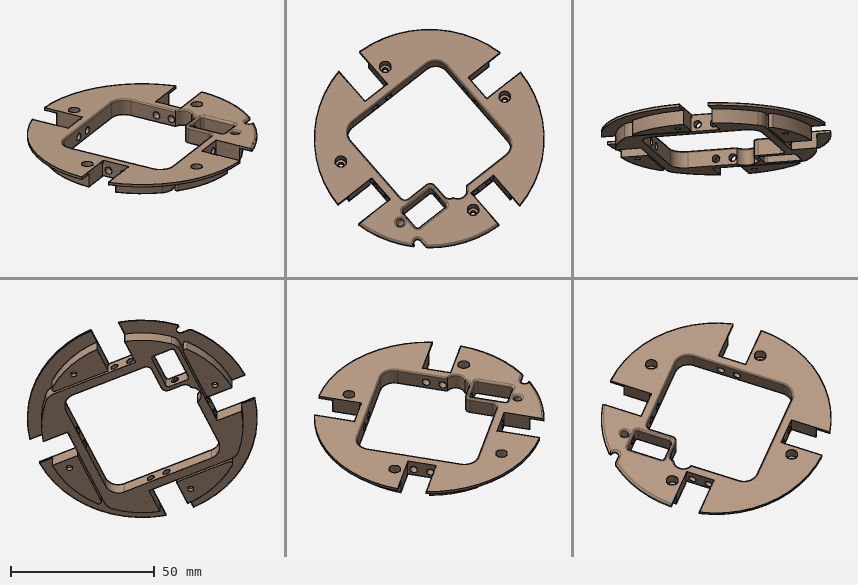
import cadquery as cq
import math

FLANGE_RADIUS = 40.0
BODY_RADIUS = 35.0
HEIGHT = 6.0
FLANGE_THICKNESS = 0.95
BODY_HEIGHT = HEIGHT - FLANGE_THICKNESS

SLOT_WIDTH = 10.1
SLOT_OFFSET = 3.5
SLOT_FLOOR = 24.7
SLOT_HOLE_DIAMETER = 2.6
SLOT_HOLE_SPACING = 6.0
SLOT_HOLE_HEIGHT = 2.5

SLIT_WIDTH = 0.7
SLIT_FLARE_RADIUS = 4.95
SLIT_NOSE_RADIUS = 0.95

OPENING_HALF = 21.6
OPENING_CORNER_RADIUS = 4.95
OPENING_STEP_X = 9.5
OPENING_STEP_Y = 12.5
OPENING_STEP_RADIUS = 2.0
OPENING_PEAK_Y = 22.1
OPENING_PEAK_RADIUS = 2.5
OPENING_RIM_RADIUS = 0.5
RELIEF_X = 4.3
RELIEF_Y = 20.8
RELIEF_RADIUS = 3.3

WINDOW_X = (10.9, 24.4)
WINDOW_Y = (14.3, 22.95)
WINDOW_CORNER_RADIUS = 0.95
EDGE_RADIUS = 0.8

CABLE_DIAMETER = 2.6
CABLE_X = 27.5
CABLE_Y = 17.35
CABLE_BEND_RADIUS = CABLE_X - WINDOW_X[1]
CABLE_HEIGHT = HEIGHT / 2
CABLE_RIM_RADIUS = 0.6
NOTCH_Y = 26.9
NOTCH_CORNER_RADIUS = 1.5

SCREW_DIAMETER = 2.0
SCREW_HEAD_DIAMETER = 4.0
SCREW_HEAD_DEPTH = 4.0
SCREW_POINTS = [(4.95, 30.0), (-30.0, 4.95), (-4.95, -30.0), (29.1, -13.0)]

QUARTER_TURNS = [0, 90, 180, 270]
OVERLAP = 0.8
TOLERANCE = 0.01
near = cq.selectors.NearestToPointSelector


def turned(part, angle):
    return part.rotate((0, 0, 0), (0, 0, 1), angle)


def box_between(x_range, y_range, z_range):
    size = [high - low for low, high in (x_range, y_range, z_range)]
    corner = (x_range[0], y_range[0], z_range[0])
    return cq.Workplane("XY").box(*size, centered=False).translate(corner)


def rounded(part, edges, radius):
    return cq.Workplane(part.findSolid().fillet(radius, edges))


def rounded_top(part):
    return part.faces(">Z").edges().fillet(EDGE_RADIUS)


def top_edges_in(part, x_range, y_range):
    """Edges of the top face whose centres lie inside a rectangle."""
    region = cq.selectors.BoxSelector(
        (x_range[0], y_range[0], HEIGHT - TOLERANCE),
        (x_range[1], y_range[1], HEIGHT + TOLERANCE),
    )
    return part.faces(">Z").edges(region).vals()


def flange_blank():
    return cq.Workplane("XY", origin=(0, 0, BODY_HEIGHT)).circle(FLANGE_RADIUS).extrude(FLANGE_THICKNESS)


def quarter_box():
    return box_between((0, FLANGE_RADIUS), (0, FLANGE_RADIUS), (BODY_HEIGHT, HEIGHT))


def notched_quarter():
    """Quarter of the flange with a rounded rim and a cable notch."""
    notch_left = CABLE_X - CABLE_DIAMETER / 2
    z_range = (BODY_HEIGHT, HEIGHT)
    above_notch = box_between((0, FLANGE_RADIUS), (NOTCH_Y, FLANGE_RADIUS), z_range)

    notch_end = (
        cq.Workplane("XY", origin=(CABLE_X, NOTCH_Y, BODY_HEIGHT))
        .circle(CABLE_DIAMETER / 2)
        .extrude(FLANGE_THICKNESS)
    )
    notched_plate = (
        cq.Workplane("XY", origin=(0, 0, BODY_HEIGHT))
        .rect(4 * FLANGE_RADIUS, 4 * FLANGE_RADIUS)
        .extrude(FLANGE_THICKNESS)
        .cut(notch_end)
    )
    notched_plate = notched_plate.faces(">Z").edges("%CIRCLE").fillet(EDGE_RADIUS)
    inner = rounded_top(flange_blank()).intersect(notched_plate).intersect(quarter_box()).cut(above_notch)

    beyond_notch = box_between((notch_left, FLANGE_RADIUS), (-FLANGE_RADIUS, FLANGE_RADIUS), z_range)
    outer = flange_blank().cut(beyond_notch)
    outer = outer.edges("|Z").edges(">Y").fillet(NOTCH_CORNER_RADIUS)
    outer = rounded_top(outer).intersect(above_notch)
    return inner.union(outer)


def slit_rounding(wall_y, radius, wall_angle):
    """Points of an arc tangent to a slit wall and to the body's side: at the wall, midway, at the side."""
    center_y = wall_y - radius * math.sin(wall_angle)
    center_x = -math.sqrt((BODY_RADIUS - radius) ** 2 - center_y**2)
    side_angle = math.atan2(center_y, center_x) + 2 * math.pi
    angles = (wall_angle, (wall_angle + side_angle) / 2, side_angle)
    return [(center_x + radius * math.cos(a), center_y + radius * math.sin(a)) for a in angles]


def slit_cutter():
    """Slit of the lower left quarter, from the lower slot to a flared mouth in the body's side."""
    upper = -SLOT_FLOOR
    lower = upper - SLIT_WIDTH
    flare_wall, flare_middle, flare_side = slit_rounding(upper, SLIT_FLARE_RADIUS, 1.5 * math.pi)
    nose_wall, nose_middle, nose_side = slit_rounding(lower, SLIT_NOSE_RADIUS, 0.5 * math.pi)
    return (
        cq.Workplane("XY")
        .moveTo(SLOT_OFFSET, upper)
        .lineTo(*flare_wall)
        .threePointArc(flare_middle, flare_side)
        .lineTo(flare_side[0], nose_side[1])
        .lineTo(*nose_side)
        .threePointArc(nose_middle, nose_wall)
        .lineTo(SLOT_OFFSET, lower)
        .close()
        .extrude(BODY_HEIGHT)
    )


def slot_cutter():
    """Slot of the lower side with the two holes through its floor."""
    left = SLOT_OFFSET - SLOT_WIDTH / 2
    slot = box_between((left, left + SLOT_WIDTH), (-FLANGE_RADIUS, -SLOT_FLOOR), (0, HEIGHT))
    holes = (
        cq.Workplane("XZ", origin=(SLOT_OFFSET, OVERLAP - OPENING_HALF, SLOT_HOLE_HEIGHT))
        .rarray(SLOT_HOLE_SPACING, 0.8, 2, 1)
        .circle(SLOT_HOLE_DIAMETER / 2)
        .extrude(SLOT_FLOOR - OPENING_HALF + 2 * OVERLAP)
    )
    return slot.union(holes)


def opening_cutter():
    half = OPENING_HALF
    outline = (
        cq.Workplane("XY")
        .polyline(
            [
                (-half, -half),
                (half, -half),
                (half, OPENING_STEP_Y),
                (OPENING_STEP_X, OPENING_STEP_Y),
                (OPENING_STEP_X, OPENING_PEAK_Y),
                (RELIEF_X, OPENING_PEAK_Y),
                (RELIEF_X, half),
                (-half, half),
            ]
        )
        .close()
        .extrude(HEIGHT)
    )
    outline = outline.edges("|Z and (<X or <Y)").fillet(OPENING_CORNER_RADIUS)
    small_corners = [
        (OPENING_STEP_X, OPENING_STEP_Y, OPENING_STEP_RADIUS),
        (half, OPENING_STEP_Y, OPENING_STEP_RADIUS),
        (OPENING_STEP_X, OPENING_PEAK_Y, OPENING_PEAK_RADIUS),
    ]
    for x, y, radius in small_corners:
        outline = outline.edges("|Z").edges(near((x, y, 0))).fillet(radius)
    relief = cq.Workplane("XY").center(RELIEF_X, RELIEF_Y).circle(RELIEF_RADIUS).extrude(HEIGHT)
    return outline.union(relief)


def window_cutter():
    window = box_between(WINDOW_X, WINDOW_Y, (0, HEIGHT))
    return window.edges("|Z").fillet(WINDOW_CORNER_RADIUS)


def curved_cable_cutter():
    """Hole bending from the top face into the window's side."""
    bend_end_height = HEIGHT - CABLE_BEND_RADIUS
    path = (
        cq.Workplane("XZ", origin=(0, CABLE_Y, 0))
        .moveTo(CABLE_X, HEIGHT)
        .radiusArc((WINDOW_X[1], bend_end_height), CABLE_BEND_RADIUS)
        .lineTo(WINDOW_X[1] - OVERLAP, bend_end_height)
    )
    mouth = cq.Workplane("XY", origin=(CABLE_X, CABLE_Y, HEIGHT)).circle(CABLE_DIAMETER / 2)
    return mouth.sweep(path)


def straight_cable_cutter():
    """Hole through the thin wall between the opening and the window."""
    wall = WINDOW_X[0] - OPENING_STEP_X
    start = (OPENING_STEP_X - OVERLAP, CABLE_Y, CABLE_HEIGHT)
    return cq.Workplane("YZ", origin=start).circle(CABLE_DIAMETER / 2).extrude(wall + 2 * OVERLAP)


flange = flange_blank().cut(quarter_box()).union(notched_quarter())
body = cq.Workplane("XY").circle(BODY_RADIUS).extrude(BODY_HEIGHT)
result = body.union(flange)

for angle in QUARTER_TURNS:
    result = result.cut(turned(slot_cutter(), angle)).cut(turned(slit_cutter(), angle))

result = (
    result.faces(">Z")
    .workplane(origin=(0, 0, HEIGHT))
    .pushPoints(SCREW_POINTS)
    .cboreHole(SCREW_DIAMETER, SCREW_HEAD_DIAMETER, SCREW_HEAD_DEPTH)
)

result = result.cut(opening_cutter())
opening_x = (-OPENING_HALF - OVERLAP, OPENING_HALF + OVERLAP)
opening_y = (-OPENING_HALF - OVERLAP, RELIEF_Y + RELIEF_RADIUS + TOLERANCE)
result = rounded(result, top_edges_in(result, opening_x, opening_y), OPENING_RIM_RADIUS)

result = result.cut(window_cutter())
window_x = (WINDOW_X[0] - TOLERANCE, WINDOW_X[1] + TOLERANCE)
window_y = (WINDOW_Y[0] - TOLERANCE, WINDOW_Y[1] + TOLERANCE)
result = rounded(result, top_edges_in(result, window_x, window_y), EDGE_RADIUS)

result = result.cut(curved_cable_cutter())
mouth_edges = result.faces(">Z").edges(near((CABLE_X, CABLE_Y, HEIGHT))).vals()
result = rounded(result, mouth_edges, CABLE_RIM_RADIUS)

result = result.cut(straight_cable_cutter())
step_wall = cq.selectors.BoxSelector(
    (OPENING_STEP_X - TOLERANCE, OPENING_STEP_Y, 0),
    (OPENING_STEP_X + TOLERANCE, OPENING_PEAK_Y, HEIGHT),
)
wall_hole_edges = result.faces(step_wall).edges("%CIRCLE").vals()
result = rounded(result, wall_hole_edges, CABLE_RIM_RADIUS)
result = cq.Workplane(result.findSolid().Solids()[0])